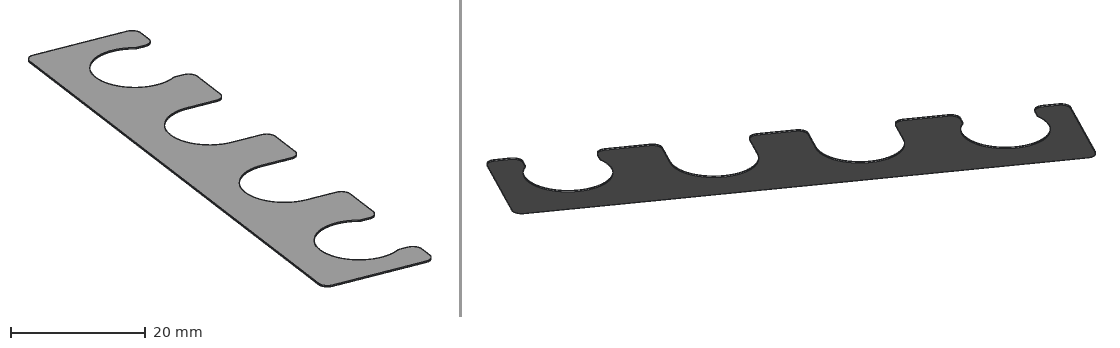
import cadquery as cq

length = 88.9
width = 19.0
thickness = 0.25
corner_radius = 1.5

seat_pitch = 22.2
seat_radius = 6.7
seat_height = 12.45
inner_seat_places = [-seat_pitch / 2, seat_pitch / 2]
outer_seat_places = [-1.5 * seat_pitch, 1.5 * seat_pitch]

snap_mouth_width = 11.4


def block(x_size, y_start, y_end):
    """Plate-thick block centred on X = 0 between two Y positions."""
    return cq.Workplane("XY").box(
        x_size, y_end - y_start, thickness, centered=(True, False, False)
    ).translate((0, y_start, 0))


def seat_cutter(x_place, mouth_width):
    """Round seat joined to a straight mouth that reaches the upper edge."""
    seat = cq.Workplane("XY").center(0, seat_height).circle(seat_radius).extrude(thickness)
    mouth = block(mouth_width, seat_height, width)
    return seat.union(mouth).translate((x_place, 0, 0))


def corner_selector(y_place):
    """Box that catches the upright edges lying along one long side of the plate."""
    reach = thickness
    return cq.selectors.BoxSelector(
        (-length, y_place - reach, -reach),
        (length, y_place + reach, 2 * thickness),
    )


plate = block(length, 0, width)
for place in inner_seat_places:
    plate = plate.cut(seat_cutter(place, 2 * seat_radius))
for place in outer_seat_places:
    plate = plate.cut(seat_cutter(place, snap_mouth_width))

for side in (0, width):
    plate = plate.edges("|Z").edges(corner_selector(side)).fillet(corner_radius)

result = plate